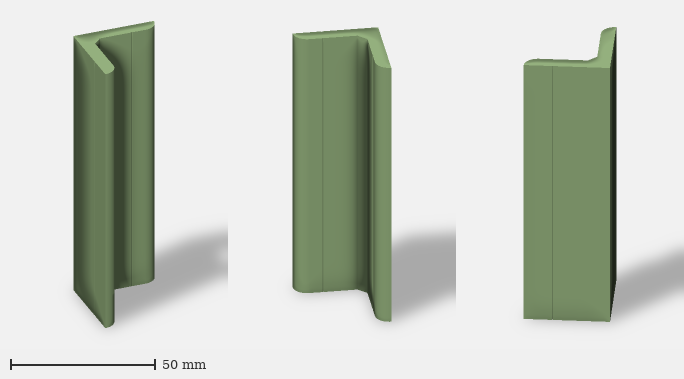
import cadquery as cq

leg_length = 30.0
thickness = 5.0
height = 100.0
corner_bevel = 3.0
groove_position = 20.0
groove_width = 0.5
groove_depth = 0.25


def angle_bar():
    """Equal-leg angle with rounded leg tips and a bevelled inner corner."""
    bar = (
        cq.Workplane("XY")
        .lineTo(leg_length, 0)
        .radiusArc((leg_length - thickness, thickness), -thickness)
        .lineTo(thickness + corner_bevel, thickness)
        .lineTo(thickness, thickness + corner_bevel)
        .lineTo(thickness, leg_length - thickness)
        .radiusArc((0, leg_length), -thickness)
        .close()
        .extrude(height)
    )
    return bar


def groove_pair():
    """Full-height V-grooves on both faces of the leg along X."""
    left = groove_position - groove_width / 2
    right = groove_position + groove_width / 2
    outer_groove = [(left, 0), (right, 0), (groove_position, groove_depth)]
    inner_groove = [(x, thickness - y) for x, y in outer_groove]
    outer_cut = cq.Workplane("XY").polyline(outer_groove).close().extrude(height)
    inner_cut = cq.Workplane("XY").polyline(inner_groove).close().extrude(height)
    return outer_cut.add(inner_cut).combine()


x_leg_grooves = groove_pair()
y_leg_grooves = x_leg_grooves.mirror(cq.Vector(1, -1, 0))

result = angle_bar().cut(x_leg_grooves).cut(y_leg_grooves)